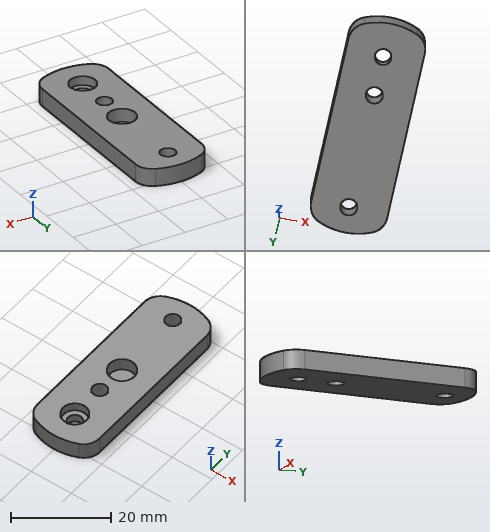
import cadquery as cq

length = 44.8
width = 15.5
thickness = 4.0
end_radius = 13.45
corner_radius = 4.0

hole_line_x = -0.22
plain_hole_diameter = 3.4
plain_hole_ys = (17.05, -7.0)

screw_y = -15.25
screw_hole_diameter = 3.3
counterbore_diameter = 5.8
counterbore_depth = 2.0

pocket_diameter = 6.05
pocket_depth = 3.0


def make_plate():
    """Intersect the bar with one disc per end, then round the four corners."""
    plate = cq.Workplane("XY").box(width, length, thickness, centered=(True, True, False))
    end_centre_y = length / 2 - end_radius
    bowed_ends = (
        cq.Workplane("XY")
        .pushPoints([(0, end_centre_y), (0, -end_centre_y)])
        .circle(end_radius)
        .extrude(thickness)
    )
    middle = cq.Workplane("XY").box(width, 2 * end_centre_y, thickness, centered=(True, True, False))
    return plate.intersect(bowed_ends.union(middle)).edges("|Z").fillet(corner_radius)


def round_cutter(x, y, diameter, depth):
    """Cylinder reaching down from the top face by the given depth."""
    return (
        cq.Workplane("XY", origin=(x, y, thickness - depth))
        .circle(diameter / 2)
        .extrude(depth)
    )


result = make_plate()

for hole_y in plain_hole_ys:
    result = result.cut(round_cutter(hole_line_x, hole_y, plain_hole_diameter, thickness))

result = result.cut(round_cutter(hole_line_x, screw_y, screw_hole_diameter, thickness))
result = result.cut(round_cutter(hole_line_x, screw_y, counterbore_diameter, counterbore_depth))

result = result.cut(round_cutter(0, 0, pocket_diameter, pocket_depth))